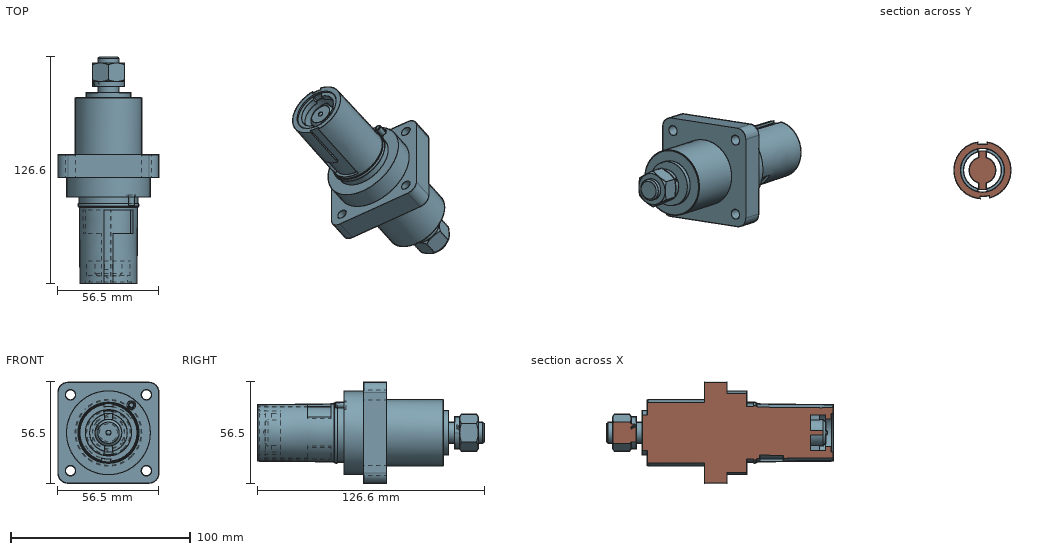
import cadquery as cq
import math

length = 126.6
mounting_width = 56.5

sleeve_end = 42.5
bead_start = 43.0
bead_end = 44.7
boss_front = 48.2
flange_front = 59.2
flange_back = 72.0
body_back = 104.0
collar_back = 106.7
washer_front = 110.0
washer_back = 112.8
nut_back = 123.3

sleeve_mouth_radius = 16.0
sleeve_root_radius = 16.3
neck_radius = 16.6
bead_radius = 17.1
boss_radius = 23.4
body_radius = 18.6
body_edge_chamfer = 0.4
collar_radius = 12.5
stud_radius = 6.0
stud_chamfer = 0.9

flange_corner_radius = 5.7
bolt_spacing = 42.4
bolt_hole_diameter = 5.6

nut_across_flats = 18.0
nut_corner_radius = nut_across_flats / 2 / math.cos(math.pi / 6)
nut_chamfer = 1.0
nut_end_radius = 8.9
washer_radius = nut_across_flats / 2
split_width = 0.8
split_angle = 26.0
split_tilt = -27.0

mouth_radius = 12.9
mouth_depth = 1.0
lip_radius = 10.5
lip_back = 4.4
cavity_radius = 12.2
cavity_depth = 12.7
lip_slot_width = 5.1
lip_slot_radius = 12.5
contact_radius = 7.5
contact_face_depth = 4.2
contact_chamfer = 1.5
tip_radius = 1.4
tip_height = 1.0
bar_width = 4.3
bar_length = 21.6
bar_face_depth = 7.7

groove_width = 5.2
groove_floor_radius = 14.7
groove_end = 41.0
groove_arm_start = 28.0
bayonet_grooves = ((0.0, 57.0), (185.0, 55.0))

pin_x = 12.8
pin_z = 15.5
pin_radius = 1.6
pin_end = 43.3
pin_chamfer = 0.4
pin_recess_radius = 2.4
pin_recess_depth = 1.3


def cylinder(radius, start, end, x=0.0, z=0.0):
    """Cylinder parallel to Y between two Y positions."""
    plane = cq.Plane(origin=(x, start, z), xDir=(1, 0, 0), normal=(0, 1, 0))
    return cq.Workplane(plane).circle(radius).extrude(end - start)


def block(width, start, end, bottom, top):
    """Box centred on X = 0 between two Y and two Z positions."""
    size = (width, end - start, top - bottom)
    return cq.Workplane("XY").box(*size, centered=(True, False, False)).translate((0, start, bottom))


def make_turned_body():
    """Sleeve, bead, boss, rear body, collar and stud as one revolved outline."""
    bead_middle = (bead_start + bead_end) / 2
    outline = (
        cq.Workplane("XY")
        .moveTo(0, 0)
        .lineTo(sleeve_mouth_radius, 0)
        .lineTo(sleeve_root_radius, sleeve_end)
        .lineTo(neck_radius, sleeve_end)
        .lineTo(neck_radius, bead_start)
        .threePointArc((bead_radius, bead_middle), (neck_radius, bead_end))
        .lineTo(neck_radius, boss_front)
        .lineTo(boss_radius, boss_front)
        .lineTo(boss_radius, flange_back)
        .lineTo(body_radius, flange_back)
        .lineTo(body_radius, body_back - body_edge_chamfer)
        .lineTo(body_radius - body_edge_chamfer, body_back)
        .lineTo(collar_radius, body_back)
        .lineTo(collar_radius, collar_back)
        .lineTo(stud_radius, collar_back)
        .lineTo(stud_radius, length - stud_chamfer)
        .lineTo(stud_radius - stud_chamfer, length)
        .lineTo(0, length)
        .close()
    )
    return outline.revolve(360, (0, 0, 0), (0, 1, 0))


def make_flange():
    """Square flange with rounded corners."""
    half = mounting_width / 2
    flange = block(mounting_width, flange_front, flange_back, -half, half)
    return flange.edges("|Y").fillet(flange_corner_radius)


def make_bolt_holes():
    """Four through holes near the flange corners."""
    plane = cq.Plane(origin=(0, flange_front, 0), xDir=(1, 0, 0), normal=(0, 1, 0))
    return (
        cq.Workplane(plane)
        .rect(bolt_spacing, bolt_spacing, forConstruction=True)
        .vertices()
        .circle(bolt_hole_diameter / 2)
        .extrude(flange_back - flange_front)
    )


def make_nut():
    """Hexagon nut with corners up and down and its corners chamfered at both ends."""
    plane = cq.Plane(origin=(0, washer_back, 0), xDir=(0, 0, 1), normal=(0, 1, 0))
    nut_height = nut_back - washer_back
    hexagon = cq.Workplane(plane).polygon(6, 2 * nut_corner_radius).extrude(nut_height)
    corner_depth = nut_corner_radius - nut_end_radius
    envelope = cylinder(nut_corner_radius, washer_back, nut_back)
    envelope = envelope.faces("<Y").edges().chamfer(nut_chamfer, corner_depth)
    envelope = envelope.faces(">Y").edges().chamfer(nut_chamfer, corner_depth)
    return hexagon.intersect(envelope)


def make_washer():
    """Spring washer with one slanted split on the -X side."""
    middle = (washer_front + washer_back) / 2
    split = (
        cq.Workplane("XY")
        .box(washer_radius, 2 * (washer_back - washer_front), split_width)
        .rotate((0, 0, 0), (1, 0, 0), split_tilt)
        .translate((-washer_radius, middle, 0))
        .rotate((0, 0, 0), (0, 1, 0), split_angle)
    )
    return cylinder(washer_radius, washer_front, washer_back).cut(split)


def make_socket():
    """Hollow inside the sleeve: mouth, slotted lip and the cavity behind the lip."""
    hollow = cylinder(mouth_radius, 0, mouth_depth)
    hollow = hollow.union(cylinder(lip_radius, 0, lip_back))
    hollow = hollow.union(cylinder(cavity_radius, lip_back, cavity_depth))
    slots = block(lip_slot_width, 0, lip_back, -lip_slot_radius, lip_slot_radius)
    return hollow.union(slots.intersect(cylinder(lip_slot_radius, 0, lip_back)))


def make_contact():
    """Centre contact standing on the cavity floor, with a domed tip and a cross bar."""
    contact = cylinder(contact_radius, contact_face_depth, cavity_depth)
    contact = contact.faces("<Y").edges().chamfer(contact_chamfer)
    dome_radius = (tip_radius**2 + tip_height**2) / (2 * tip_height)
    dome_centre = contact_face_depth - tip_height + dome_radius
    dome = cq.Workplane("XY").sphere(dome_radius).translate((0, dome_centre, 0))
    bar = block(bar_width, bar_face_depth, cavity_depth, -bar_length / 2, bar_length / 2)
    return contact.union(dome).union(bar)


def make_bayonet_groove(clock_angle, arm_sweep):
    """L-shaped groove: open at the sleeve mouth, turning clockwise at its closed end."""
    outside = bead_radius
    straight = block(groove_width, 0, groove_end, 0, outside)
    plane = cq.Plane(origin=(0, groove_arm_start, 0), xDir=(0, 0, 1), normal=(0, 1, 0))
    reach = 2 * outside
    sweep = math.radians(arm_sweep)
    arm = (
        cq.Workplane(plane)
        .polyline([
            (0, 0),
            (reach, 0),
            (reach, reach * math.tan(sweep / 2)),
            (reach * math.cos(sweep), reach * math.sin(sweep)),
        ])
        .close()
        .extrude(groove_end - groove_arm_start)
    )
    ring = cylinder(outside, 0, groove_end).cut(cylinder(groove_floor_radius, 0, groove_end))
    return straight.union(arm).intersect(ring).rotate((0, 0, 0), (0, 1, 0), clock_angle)


def make_locating_pin():
    """Chamfered pin rising from the floor of its recess."""
    pin = cylinder(pin_radius, pin_end, boss_front + pin_recess_depth, pin_x, pin_z)
    return pin.faces("<Y").edges().chamfer(pin_chamfer)


pin_recess = cylinder(pin_recess_radius, boss_front, boss_front + pin_recess_depth, pin_x, pin_z)

result = make_turned_body().union(make_flange()).cut(make_bolt_holes())
result = result.union(make_washer()).union(make_nut())
result = result.cut(make_socket()).union(make_contact())
for clock_angle, arm_sweep in bayonet_grooves:
    result = result.cut(make_bayonet_groove(clock_angle, arm_sweep))
result = result.cut(pin_recess).union(make_locating_pin())